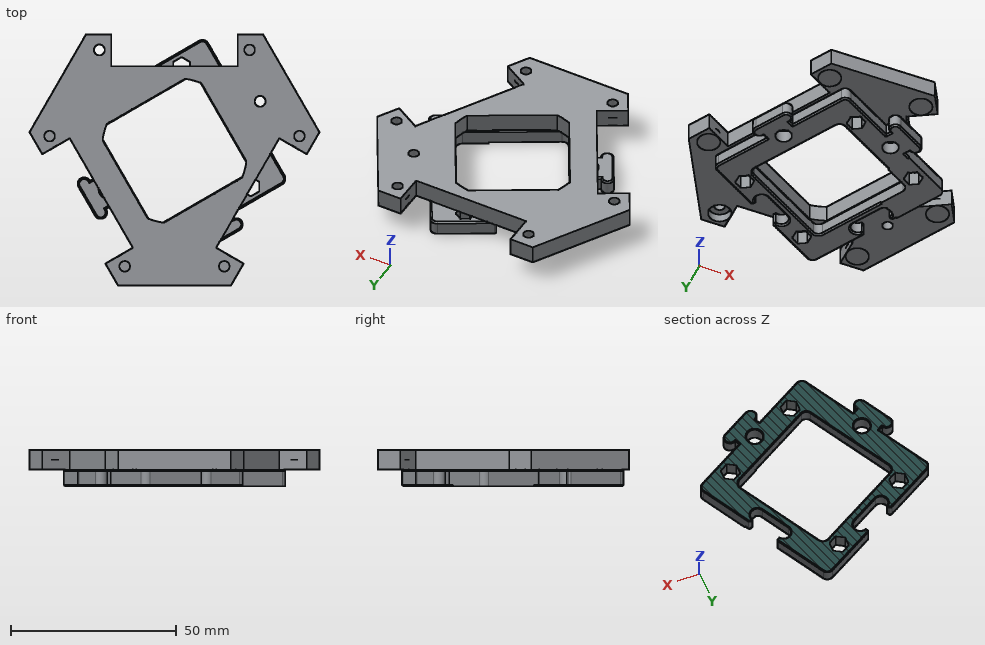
import cadquery as cq
import math

tile_height = 5.0
plate_height = 6.0

lobe_count = 3
lobe_reach = 40.65
lobe_half_width = 17.0
notch_half_width = 19.0
notch_floor = 25.5
plate_window_half = 17.2
plate_window_corner_radius = 21.9

disc_diameter = 7.0
disc_height = 3.0
disc_hole_diameter = 3.2
disc_offset = 15.0
disc_reach = 34.8
extra_hole_diameter = 3.2
extra_hole_reach = 29.8

tile_angle = 30.0
tile_half = 25.0
tile_corner_radius = 2.0
tile_window_half = 17.0
tile_window_corner_radius = 2.0
tile_chamfer = 0.5

tab_end_radius = 1.95
tab_half_width = 5.0
neck_half_width = 4.9
tab_length = 5.5
socket_gap = 0.25
socket_lip_radius = 0.6

nut_hole_flats = 5.0
nut_hole_along = 14.5
nut_hole_from_centre = 20.85
root_hole_diameter = 5.0
root_hole_from_centre = 23.0

lobe_angles = [i * 360.0 / lobe_count - 90.0 for i in range(lobe_count)]
notch_angles = [angle + 180.0 for angle in lobe_angles]
extra_hole_angle = lobe_angles[1]

empty_pocket = (lobe_angles[2], -1)

tab_angles = [180.0, 270.0]
hexagon_sides = 6


def turned(shape, angle):
    """Shape turned about the Z axis."""
    return shape.rotate((0, 0, 0), (0, 0, 1), angle)


def plate_window():
    """Square opening whose corners follow a circle around the centre."""
    base = cq.Workplane("XY").workplane(offset=tile_height)
    square = base.rect(2 * plate_window_half, 2 * plate_window_half).extrude(plate_height)
    disc = base.circle(plate_window_corner_radius).extrude(plate_height)
    return turned(square.intersect(disc), tile_angle)


def polar_point(angle, reach, offset=0.0):
    """Point at a distance along a direction and an offset to the left of it."""
    a = math.radians(angle)
    return (reach * math.cos(a) - offset * math.sin(a), reach * math.sin(a) + offset * math.cos(a))


def cylinder(point, diameter, z_start, height):
    return cq.Workplane("XY", origin=(*point, z_start)).circle(diameter / 2).extrude(height)


def make_plate():
    outline = []
    for angle in lobe_angles:
        outline.append(polar_point(angle, lobe_reach, -lobe_half_width))
        outline.append(polar_point(angle, lobe_reach, lobe_half_width))
    plate = cq.Workplane("XY").workplane(offset=tile_height).polyline(outline).close().extrude(plate_height)

    for angle in notch_angles:
        notch = (
            cq.Workplane("XY")
            .box(lobe_reach, 2 * notch_half_width, plate_height, centered=(False, True, False))
            .translate((notch_floor, 0, tile_height))
        )
        plate = plate.cut(turned(notch, angle))

    plate = plate.cut(plate_window())

    for angle in lobe_angles:
        for side in (-1, 1):
            point = polar_point(angle, disc_reach, side * disc_offset)
            plate = plate.cut(cylinder(point, disc_hole_diameter, tile_height, plate_height))
            plate = plate.cut(cylinder(point, disc_diameter, tile_height, disc_height))

    extra_point = polar_point(extra_hole_angle, extra_hole_reach)
    return plate.cut(cylinder(extra_point, extra_hole_diameter, tile_height, plate_height))


def make_disc(angle, side):
    point = polar_point(angle, disc_reach, side * disc_offset)
    return cylinder(point, disc_diameter, tile_height, disc_height)


def tab_bar(base, gap=0.0):
    """Round-ended bar of a tab that points along +X from the line X = base, grown by a gap."""
    radius = tab_end_radius + gap
    return (
        cq.Workplane("XY", origin=(base + tab_length - tab_end_radius, 0, 0))
        .slot2D(2 * (tab_half_width + radius), 2 * radius, 90)
        .extrude(tile_height)
    )


def tab_neck(base, gap=0.0):
    """Straight neck from inside the line X = base to the middle of the bar."""
    start = base - 2 * tile_chamfer
    length = base + tab_length - tab_end_radius - start
    width = 2 * (neck_half_width + gap)
    plane = cq.Workplane("XY", origin=(start, 0, 0))
    return plane.box(length, width, tile_height, centered=(False, True, False))


def make_tile():
    tile = cq.Workplane("XY").rect(2 * tile_half, 2 * tile_half).extrude(tile_height)
    tile = tile.edges("|Z").fillet(tile_corner_radius)

    opening = cq.Workplane("XY").rect(2 * tile_window_half, 2 * tile_window_half).extrude(tile_height)
    tile = tile.cut(opening.edges("|Z").fillet(tile_window_corner_radius))

    for angle in tab_angles:
        tile = tile.cut(turned(tab_bar(-tile_half, socket_gap), angle))
        tile = tile.cut(turned(tab_neck(-tile_half, socket_gap), angle))
    lip = neck_half_width + socket_gap
    for side in (-lip, lip):
        for x, y in ((tile_half, side), (side, tile_half)):
            lip_edge = cq.NearestToPointSelector((x, y, tile_height / 2))
            tile = tile.edges(lip_edge).fillet(socket_lip_radius)

    start = tab_half_width + tab_end_radius
    size = tile_half - start
    corner = cq.Workplane("XY").box(size, size, tile_chamfer, centered=False)
    sharp_corner = tile.intersect(corner.translate((start, -tile_half, 0)))
    tile = tile.faces("<Z or >Z").edges().chamfer(tile_chamfer).union(sharp_corner)

    bar = tab_bar(tile_half).faces("<Z or >Z").edges().chamfer(tile_chamfer)
    neck = tab_neck(tile_half).faces("<Z or >Z").edges("|X").chamfer(tile_chamfer)
    for angle in tab_angles:
        tile = tile.union(turned(bar, angle)).union(turned(neck, angle))

    hexagon_diameter = nut_hole_flats / math.cos(math.pi / hexagon_sides)
    nut_holes = (
        cq.Workplane("XY")
        .rect(2 * nut_hole_along, 2 * nut_hole_from_centre, forConstruction=True)
        .vertices()
        .polygon(hexagon_sides, hexagon_diameter)
        .extrude(tile_height)
    )
    tile = tile.cut(nut_holes)

    for angle in tab_angles:
        point = polar_point(angle, root_hole_from_centre)
        tile = tile.cut(cylinder(point, root_hole_diameter, 0, tile_height))
        tile = tile.cut(root_hole_mouth(point))

    return turned(tile, tile_angle)


def root_hole_mouth(point):
    """Cone that chamfers the top of a root hole."""
    widest = root_hole_diameter / 2 + tile_chamfer
    plane = cq.Workplane("XY", origin=(*point, tile_height))
    return plane.circle(widest).extrude(-tile_chamfer, taper=45)


plate = make_plate()
tile = make_tile()
discs = [
    make_disc(angle, side)
    for angle in lobe_angles
    for side in (-1, 1)
    if (angle, side) != empty_pocket
]

result = cq.Compound.makeCompound([plate.val(), tile.val(), *[disc.val() for disc in discs]])